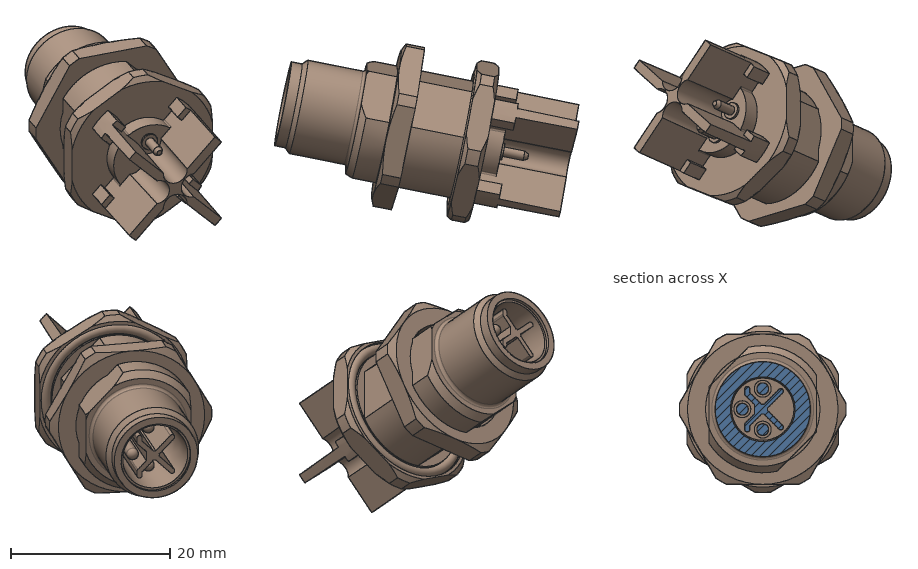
import cadquery as cq
import math


TOTAL_LENGTH = 36.7

COLLAR_END = 1.35
COLLAR_R = 5.4
THREAD_START = 2.0
THREAD_END = 9.0
THREAD_R = 12.0 / 2
BODY_START = 9.4

BODY_R = 8.0
BODY_NOSE_R = 7.15
BODY_CHAMFER_END = 10.28
FLAT_DISTANCE = 6.8
DIAGONAL_FLAT_ANGLE = 45.0

LOCKNUT_FLATS = 18.9
REAR_NUT_FLATS = 19.1
LOCKNUT_TURN = 0
REAR_NUT_TURN = 30
NUT_R = 10.5
NUT_THICKNESS = 2.8
NUT_SEAT_R = LOCKNUT_FLATS / 2
NUT_SEAT_CHAMFER = 0.45
LOCKNUT_START = 13.25
LOCKNUT_BORE_R = 7.2
REAR_NUT_START = 22.97
REAR_NUT_END = REAR_NUT_START + NUT_THICKNESS
REAR_NUT_FACE_R = 9.8
REAR_NUT_CHAMFER = 0.55

RING_R = 8.65
RING_SECTION_R = 0.65
RING_FRONT = 22.8
RING_CENTRE = RING_FRONT + RING_SECTION_R
RING_GAP = 0.05

MOUTH_R = 9.0 / 2
MOUTH_DEPTH = 0.4
CAVITY_R = 8.4 / 2
CAVITY_FLOOR_R = 7.8 / 2
CAVITY_FLOOR = 11.75

DIVIDER_FRONT = 0.77
DIVIDER_HALF = 0.33
DIVIDER_REACH = 2.28
DIVIDER_BEND = 1.95
DIVIDER_BENT_REACH = 2.55
HUB_LEFT = -0.62
HUB_RIGHT = 1.05
HUB_HALF_HEIGHT = 0.62

PIN_CIRCLE_R = 2.57
PLUG_PIN_R = 1.5 / 2
SIDE_PIN_ANGLE = 0
UPPER_PIN_ANGLE = 90
LOWER_PIN_ANGLE = -90
SIDE_PIN_TIP = 1.25
OTHER_PIN_TIP = 3.45
PIN_COLLAR_R = 2.13 / 2
PIN_COLLAR_HEIGHT = 0.3
TAIL_R = 1.2 / 2
TAIL_TIP_R = 0.33
TAIL_SHOULDER = 30.9
TAIL_TIP = 31.45

SHIELD_R = 8.25
ARM_OVERSHOOT = 0.35
ARM_ANGLES = (45, 135, 225, 315)
GROOVE_ANGLES = (0, 90, 180, 270)
ARM_ROOT_HALF = 0.75
ARM_END_HALF = 0.62
PAD_HALF = 1.5
PAD_INNER = 6.5
PAD_END = 28.8
INSULATOR_R = 4.8
INSULATOR_END = 27.95
RIM_TOLERANCE = 0.005
INSULATOR_FILLET = 0.22
GROOVE_R = 1.6
GROOVE_CENTRE = 2.42


def revolved(profile):
    """Turn a closed (x, radius) profile about the X axis."""
    return profile.close().revolve(360, (0, 0, 0), (1, 0, 0))


def rod(start, end, radius, y=0.0):
    """Cylinder parallel to X, offset along Y."""
    return cq.Workplane("YZ", origin=(start, 0, 0)).center(y, 0).circle(radius).extrude(end - start)


def bar(start, end, inner, outer, half_width, angle):
    """Rectangular bar along X, lying radially from inner to outer at an angle from +Y."""
    size = (end - start, outer - inner, 2 * half_width)
    flat = cq.Workplane("XY").box(*size).translate(((start + end) / 2, (inner + outer) / 2, 0))
    return flat.rotate((0, 0, 0), (1, 0, 0), angle)


def plug():
    """Collar and thread, flaring into the body with a fillet."""
    fillet_r = BODY_START - THREAD_END
    middle = fillet_r * math.sqrt(0.5)
    profile = (
        cq.Workplane("XY")
        .moveTo(0, 0)
        .lineTo(0, COLLAR_R)
        .lineTo(COLLAR_END, COLLAR_R)
        .lineTo(THREAD_START, THREAD_R)
        .lineTo(THREAD_END, THREAD_R)
        .threePointArc((THREAD_END + middle, THREAD_R + fillet_r - middle), (BODY_START, THREAD_R + fillet_r))
        .lineTo(BODY_START, 0)
    )
    return revolved(profile)


def body():
    barrel = revolved(
        cq.Workplane("XY")
        .moveTo(BODY_START, 0)
        .lineTo(BODY_START, BODY_NOSE_R)
        .lineTo(BODY_CHAMFER_END, BODY_R)
        .lineTo(REAR_NUT_START, BODY_R)
        .lineTo(REAR_NUT_START, 0)
    )
    for angle in (0, DIAGONAL_FLAT_ANGLE):
        barrel = barrel.intersect(
            bar(BODY_START, REAR_NUT_START, -FLAT_DISTANCE, FLAT_DISTANCE, BODY_R, angle)
        )
    return barrel


def nut(start, flats, turn, front, rear):
    """Hexagon trimmed by a turned outline; front and rear are (face radius, chamfer length)."""
    end = start + NUT_THICKNESS
    hexagon = (
        cq.Workplane("YZ", origin=(start, 0, 0))
        .polygon(6, flats / math.cos(math.pi / 6))
        .extrude(NUT_THICKNESS)
        .rotate((0, 0, 0), (1, 0, 0), turn)
    )
    outline = cq.Workplane("XY").moveTo(start, 0).lineTo(start, front[0]).lineTo(start + front[1], NUT_R)
    if rear:
        outline = outline.lineTo(end - rear[1], NUT_R).lineTo(end, rear[0])
    else:
        outline = outline.lineTo(end, NUT_R)
    return hexagon.intersect(revolved(outline.lineTo(end, 0)))


def sealing_ring():
    section = cq.Workplane("XY").center(RING_CENTRE, RING_R).circle(RING_SECTION_R)
    return section.revolve(360, (0, -RING_R, 0), (1, -RING_R, 0))


def cavity():
    return revolved(
        cq.Workplane("XY")
        .moveTo(0, 0)
        .lineTo(0, MOUTH_R)
        .lineTo(MOUTH_DEPTH, MOUTH_R)
        .lineTo(MOUTH_DEPTH, CAVITY_R)
        .lineTo(CAVITY_FLOOR, CAVITY_FLOOR_R)
        .lineTo(CAVITY_FLOOR, 0)
    )


def divider_blade(y0, z0, y1, z1):
    """Round-ended wall between two points of the divider."""
    length = math.hypot(y1 - y0, z1 - z0) + 2 * DIVIDER_HALF
    angle = math.degrees(math.atan2(z1 - z0, y1 - y0))
    return (
        cq.Workplane("YZ", origin=(DIVIDER_FRONT, 0, 0))
        .center((y0 + y1) / 2, (z0 + z1) / 2)
        .slot2D(length, 2 * DIVIDER_HALF, angle)
        .extrude(CAVITY_FLOOR - DIVIDER_FRONT)
    )


def divider():
    hub = (
        cq.Workplane("YZ", origin=(DIVIDER_FRONT, 0, 0))
        .center((HUB_LEFT + HUB_RIGHT) / 2, 0)
        .rect(HUB_RIGHT - HUB_LEFT, 2 * HUB_HALF_HEIGHT)
        .extrude(CAVITY_FLOOR - DIVIDER_FRONT)
    )
    for side in (1, -1):
        hub = hub.union(divider_blade(0, 0, -DIVIDER_REACH, side * DIVIDER_REACH))
        hub = hub.union(divider_blade(0, 0, DIVIDER_BEND, side * DIVIDER_BEND))
        hub = hub.union(
            divider_blade(DIVIDER_BEND, side * DIVIDER_BEND, DIVIDER_BEND, side * DIVIDER_BENT_REACH)
        )
    return hub


def plug_pin(tip):
    """Round-nosed pin on a low collar at the cavity floor."""
    nose_start = tip + PLUG_PIN_R
    middle = PLUG_PIN_R * math.sqrt(0.5)
    collar_start = CAVITY_FLOOR - PIN_COLLAR_HEIGHT
    return revolved(
        cq.Workplane("XY")
        .moveTo(tip, 0)
        .threePointArc((nose_start - middle, middle), (nose_start, PLUG_PIN_R))
        .lineTo(collar_start, PLUG_PIN_R)
        .lineTo(collar_start, PIN_COLLAR_R)
        .lineTo(CAVITY_FLOOR, PIN_COLLAR_R)
        .lineTo(CAVITY_FLOOR, 0)
    )


def tail_pin():
    """Solder tail with a collar on the insulator and a tapered tip."""
    collar_end = INSULATOR_END + PIN_COLLAR_HEIGHT
    return revolved(
        cq.Workplane("XY")
        .moveTo(REAR_NUT_END, 0)
        .lineTo(REAR_NUT_END, PIN_COLLAR_R)
        .lineTo(collar_end, PIN_COLLAR_R)
        .lineTo(collar_end, TAIL_R)
        .lineTo(TAIL_SHOULDER, TAIL_R)
        .lineTo(TAIL_TIP, TAIL_TIP_R)
        .lineTo(TAIL_TIP, 0)
    )


def at_pin_position(pin, angle):
    return pin.translate((0, PIN_CIRCLE_R, 0)).rotate((0, 0, 0), (1, 0, 0), angle)


def shield():
    """Drafted cross with thick outer pads, grooved beside each contact position."""
    length = TOTAL_LENGTH - REAR_NUT_END
    draft = math.degrees(math.atan((ARM_ROOT_HALF - ARM_END_HALF) / length))
    cross = cq.Workplane("XY")
    stock_r = SHIELD_R + ARM_OVERSHOOT
    for angle in ARM_ANGLES[:2]:
        plate = (
            cq.Workplane("YZ", origin=(REAR_NUT_END, 0, 0))
            .rect(2 * stock_r, 2 * ARM_ROOT_HALF)
            .extrude(length, taper=draft)
            .rotate((0, 0, 0), (1, 0, 0), angle)
        )
        cross = cross.union(plate)
    for angle in ARM_ANGLES:
        cross = cross.union(bar(REAR_NUT_END, PAD_END, PAD_INNER, stock_r, PAD_HALF, angle))
    cross = cross.intersect(rod(REAR_NUT_END, TOTAL_LENGTH, SHIELD_R))
    for angle in GROOVE_ANGLES:
        groove = rod(REAR_NUT_END, TOTAL_LENGTH, GROOVE_R, GROOVE_CENTRE)
        cross = cross.cut(groove.rotate((0, 0, 0), (1, 0, 0), angle))
    return cross


def on_insulator_rim(edge):
    """True for the lengthwise corners where the insulator meets an arm."""
    centre = edge.Center()
    return abs(math.hypot(centre.y, centre.z) - INSULATOR_R) < RIM_TOLERANCE


def shield_and_insulator():
    """Insulator disc between the arms of the cross, with filleted corners along each arm."""
    joined = shield().union(rod(REAR_NUT_END, INSULATOR_END, INSULATOR_R))
    corners = joined.edges().filter(on_insulator_rim)
    return corners.fillet(INSULATOR_FILLET)


def locknut():
    """Nut with a bore that leaves a gap over the flats of the body."""
    blank = nut(LOCKNUT_START, LOCKNUT_FLATS, LOCKNUT_TURN, (NUT_SEAT_R, NUT_SEAT_CHAMFER), None)
    return blank.cut(rod(LOCKNUT_START, LOCKNUT_START + NUT_THICKNESS, LOCKNUT_BORE_R))


def rear_nut():
    edge = (REAR_NUT_FACE_R, REAR_NUT_CHAMFER)
    groove_outer = RING_R + RING_SECTION_R + RING_GAP
    groove_inner = RING_R - RING_SECTION_R - RING_GAP
    groove = rod(REAR_NUT_START, RING_CENTRE, groove_outer)
    groove = groove.cut(rod(REAR_NUT_START, RING_CENTRE, groove_inner))
    return nut(REAR_NUT_START, REAR_NUT_FLATS, REAR_NUT_TURN, edge, edge).cut(groove)


pin_tips = {
    SIDE_PIN_ANGLE: SIDE_PIN_TIP,
    UPPER_PIN_ANGLE: OTHER_PIN_TIP,
    LOWER_PIN_ANGLE: OTHER_PIN_TIP,
}

result = (
    plug()
    .union(body())
    .union(locknut())
    .union(rear_nut())
    .union(sealing_ring())
    .cut(cavity())
    .union(divider())
    .union(shield_and_insulator())
)
for pin_angle, pin_tip in pin_tips.items():
    for pin in (plug_pin(pin_tip), tail_pin()):
        result = result.union(at_pin_position(pin, pin_angle))